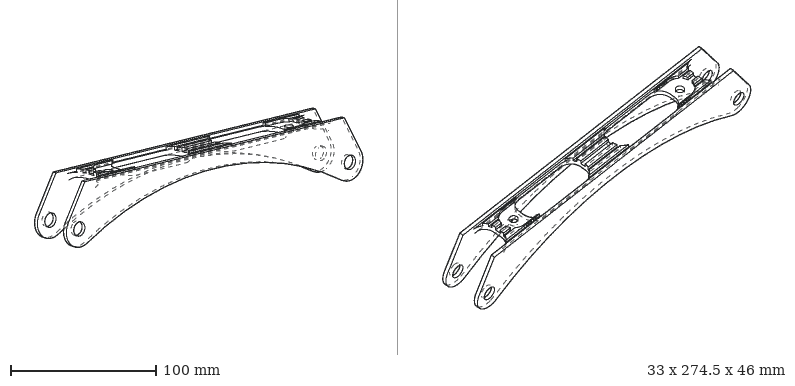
import cadquery as cq
import math

LENGTH = 274.5
WIDTH = 33.0
HEIGHT = 46.0

WALL = 3.0
TOP_EDGE_LENGTH = 240.3
EAR_RADIUS = 13.0
ARCH_TOP_DEPTH = 13.5
PIVOT_DIAMETER = 10.2
PIVOT_SPACING = 250.5
PIVOT_DEPTH = 33.0

WEB_LENGTH = 198.8
WEB_DEPTH = 6.0
CORNER_RADIUS = 10.0
INNER_FILLET = 2.0

GROOVE_DEPTH = 2.5
GROOVE_WIDTH = 2.2
CENTER_GROOVE_WIDTH = 4.0

SLOT_LENGTH = 61.8
SLOT_WIDTH = 24.0
SLOT_CENTER = 44.8
BOLT_DIAMETER = 6.3
BOLT_CENTER = 83.5
SEAT_RADIUS = 10.5

INNER_WIDTH = WIDTH - 2 * WALL
RIB_WIDTH = (INNER_WIDTH - CENTER_GROOVE_WIDTH - 4 * GROOVE_WIDTH) / 4
EAR_Y = LENGTH / 2 - EAR_RADIUS
EAR_Z = EAR_RADIUS - HEIGHT


def wall_outline():
    """Side outline in the YZ plane: sloped ends, round ears and an arched lower edge, all tangent."""
    corner_y = TOP_EDGE_LENGTH / 2

    slope_run = corner_y - EAR_Y
    slope_rise = -EAR_Z
    to_corner = math.atan2(slope_rise, slope_run)
    slope_angle = to_corner - math.acos(EAR_RADIUS / math.hypot(slope_run, slope_rise))

    drop = -EAR_Z - ARCH_TOP_DEPTH
    arch_radius = (EAR_Y**2 + drop**2 - EAR_RADIUS**2) / (2 * (EAR_RADIUS + drop))
    arch_center_z = -ARCH_TOP_DEPTH - arch_radius
    arch_angle = math.atan2(arch_center_z - EAR_Z, -EAR_Y)

    def ear_point(angle, side):
        y = EAR_Y + EAR_RADIUS * math.cos(angle)
        z = EAR_Z + EAR_RADIUS * math.sin(angle)
        return (side * y, z)

    ear_middle = (slope_angle + arch_angle) / 2
    return (
        cq.Workplane("YZ", origin=(-WIDTH / 2, 0, 0))
        .moveTo(-corner_y, 0)
        .lineTo(corner_y, 0)
        .lineTo(*ear_point(slope_angle, 1))
        .threePointArc(ear_point(ear_middle, 1), ear_point(arch_angle, 1))
        .threePointArc((0, -ARCH_TOP_DEPTH), ear_point(arch_angle, -1))
        .threePointArc(ear_point(ear_middle, -1), ear_point(slope_angle, -1))
        .close()
    )


def block(width, length, top, bottom):
    """Box centred on X and Y between two heights."""
    return cq.Workplane("XY", origin=(0, 0, bottom)).rect(width, length).extrude(top - bottom)


def channel():
    """Two side walls joined by the web, with filleted corners under the web."""
    body = wall_outline().extrude(WIDTH)
    under_web = (
        block(INNER_WIDTH, LENGTH, -WEB_DEPTH, -HEIGHT)
        .edges("|Y and >Z")
        .fillet(INNER_FILLET)
    )
    return body.cut(under_web)


def web_end_notch(side):
    """Open end between the walls, with rounded corners where it meets the web."""
    notch_length = (LENGTH - WEB_LENGTH) / 2
    center_y = side * (WEB_LENGTH + notch_length) / 2
    web_face = "<Y" if side > 0 else ">Y"
    notch = block(INNER_WIDTH, notch_length, 0, -HEIGHT).translate((0, center_y, 0))
    return notch.edges("|Z").edges(web_face).fillet(CORNER_RADIUS)


def ribs():
    """Four ribs in mirrored pairs; each outer rib stands one groove away from the wall."""
    outer_x = INNER_WIDTH / 2 - GROOVE_WIDTH - RIB_WIDTH / 2
    inner_x = outer_x - RIB_WIDTH - GROOVE_WIDTH
    rib = block(RIB_WIDTH, LENGTH, 0, -GROOVE_DEPTH)
    group = cq.Workplane("XY")
    for x in (-outer_x, -inner_x, inner_x, outer_x):
        group = group.add(rib.translate((x, 0, 0)))
    return group.combine()


def grooves():
    """Space left between the ribs and the walls above the groove floor."""
    return block(INNER_WIDTH, LENGTH, 0, -GROOVE_DEPTH).cut(ribs())


def slot(side):
    """Long opening through the web with rounded corners."""
    opening = block(SLOT_WIDTH, SLOT_LENGTH, 0, -HEIGHT).edges("|Z").fillet(CORNER_RADIUS)
    return opening.translate((0, side * SLOT_CENTER, 0))


def bolt_seat(side):
    """Flat seat at groove depth: round at its outer end and open to the slot, with a bolt hole."""
    bolt_y = side * BOLT_CENTER
    run = BOLT_CENTER - SLOT_CENTER
    seat = cq.Workplane("XY", origin=(0, bolt_y, 0)).circle(SEAT_RADIUS).extrude(-GROOVE_DEPTH)
    run_out = block(2 * SEAT_RADIUS, run, 0, -GROOVE_DEPTH).translate((0, bolt_y - side * run / 2, 0))
    hole = cq.Workplane("XY", origin=(0, bolt_y, 0)).circle(BOLT_DIAMETER / 2).extrude(-HEIGHT)
    return seat.union(run_out).union(hole)


def pivot_holes():
    """Holes along X through both walls at each ear."""
    return (
        cq.Workplane("YZ", origin=(-WIDTH / 2, 0, -PIVOT_DEPTH))
        .pushPoints([(-PIVOT_SPACING / 2, 0), (PIVOT_SPACING / 2, 0)])
        .circle(PIVOT_DIAMETER / 2)
        .extrude(WIDTH)
    )


result = channel().cut(grooves()).cut(pivot_holes())
for end in (-1, 1):
    result = result.cut(web_end_notch(end)).cut(slot(end)).cut(bolt_seat(end))